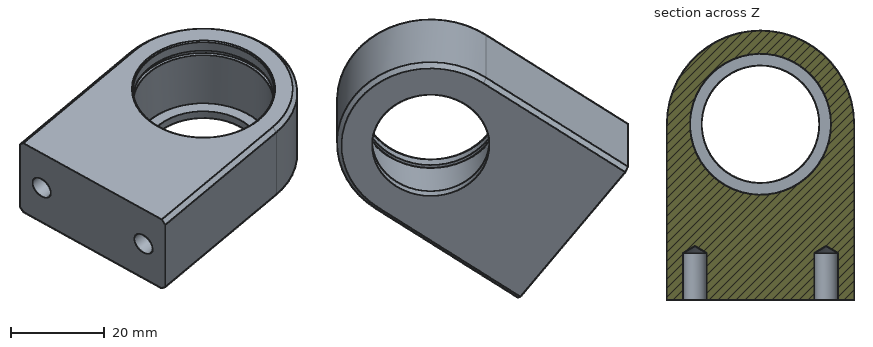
import cadquery as cq

length = 57.5
width = 40.0
height = 20.0
edge_chamfer = 1.0
end_radius = width / 2
front_y = end_radius - length

bore_diameter = 25.0
seat_diameter = 30.0
floor_thickness = 2.0
mouth_chamfer = 0.3

groove_diameter = 31.4
groove_width = 1.3
groove_depth_from_top = 2.7

hole_diameter = 5.0
hole_spacing = 28.0
hole_depth = 10.0
drill_tip_depth = 1.5


def make_body():
    body = (
        cq.Workplane("XY")
        .moveTo(-end_radius, front_y)
        .lineTo(end_radius, front_y)
        .lineTo(end_radius, 0)
        .threePointArc((0, end_radius), (-end_radius, 0))
        .close()
        .extrude(height)
    )
    return body.faces("<Z or >Z").edges("not |X").chamfer(edge_chamfer)


def make_bore_cutter():
    """Revolved half profile of the bore, seat, ring groove and mouth chamfer."""
    bore_radius = bore_diameter / 2
    seat_radius = seat_diameter / 2
    groove_radius = groove_diameter / 2
    groove_top = height - groove_depth_from_top
    groove_bottom = groove_top - groove_width
    profile = [
        (0, 0),
        (bore_radius, 0),
        (bore_radius, floor_thickness),
        (seat_radius, floor_thickness),
        (seat_radius, groove_bottom),
        (groove_radius, groove_bottom),
        (groove_radius, groove_top),
        (seat_radius, groove_top),
        (seat_radius, height - mouth_chamfer),
        (seat_radius + mouth_chamfer, height),
        (0, height),
    ]
    return cq.Workplane("XZ").polyline(profile).close().revolve(360, (0, 0), (0, 1))


def make_hole_cutter(x):
    """Drilled hole with a conical tip, pointing along +Y from the front face."""
    hole_radius = hole_diameter / 2
    profile = [
        (x, front_y),
        (x + hole_radius, front_y),
        (x + hole_radius, front_y + hole_depth),
        (x, front_y + hole_depth + drill_tip_depth),
    ]
    hole = cq.Workplane("XY", origin=(0, 0, height / 2)).polyline(profile).close()
    return hole.revolve(360, (x, 0), (x, 1))


result = make_body().cut(make_bore_cutter())
for side in (-1, 1):
    result = result.cut(make_hole_cutter(side * hole_spacing / 2))